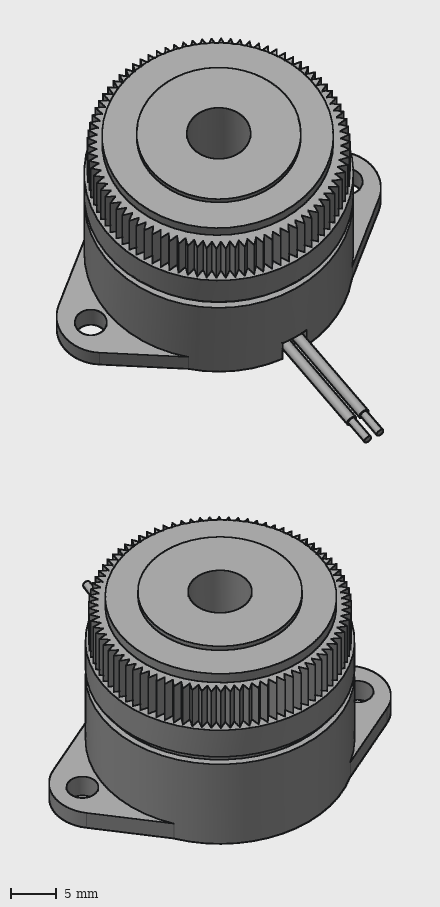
import cadquery as cq
import math

flange_top = 2.2
shoulder_z = 11.7
cap_bottom = 12.8
knurl_bottom = 16.7
knurl_top = 22.0
step_top = 23.3
cap_top = 23.9
pad_height = 0.6

body_radius = 29.5 / 2
neck_radius = 28.0 / 2
ear_tip_y = 20.5
ear_radius = 5.0
ear_side_angle = 38.0
mount_hole_y = 17.0
mount_hole_diameter = 3.5
pad_diameter = 5.25

wire_spacing = 1.63
wire_diameter = 1.25
core_diameter = 0.91
wire_z = 1.58
insulation_end_x = 26.9
core_end_x = 30.0
exit_notch_width = 3.2
exit_notch_height = 2.85
exit_notch_depth = 1.0

tooth_count = 86
tooth_tip_radius = 14.4
tooth_root_radius = 13.4
step_radius = 25.35 / 2
step_offset_x = -0.2
face_radius = 18.0 / 2
sound_hole_radius = 7.0 / 2


def cylinder(radius, bottom, top, x=0.0, y=0.0):
    """Upright cylinder between two heights."""
    return cq.Workplane("XY", origin=(x, y, bottom)).circle(radius).extrude(top - bottom)


def flange_plate():
    """Plate with two round-tipped ears whose straight sides run into the body."""
    normal_x = math.cos(math.radians(ear_side_angle))
    normal_y = math.sin(math.radians(ear_side_angle))
    arc_center_y = ear_tip_y - ear_radius
    tangent_x = ear_radius * normal_x
    tangent_y = arc_center_y + ear_radius * normal_y
    side_distance = arc_center_y * normal_y + ear_radius
    foot_x = side_distance * normal_x
    foot_y = side_distance * normal_y
    return (
        cq.Workplane("XY")
        .moveTo(foot_x, -foot_y)
        .lineTo(foot_x, foot_y)
        .lineTo(tangent_x, tangent_y)
        .threePointArc((0, ear_tip_y), (-tangent_x, tangent_y))
        .lineTo(-foot_x, foot_y)
        .lineTo(-foot_x, -foot_y)
        .lineTo(-tangent_x, -tangent_y)
        .threePointArc((0, -ear_tip_y), (tangent_x, -tangent_y))
        .close()
        .extrude(flange_top)
    )


def wire_exit_notch():
    """Shallow notch in the +X wall, open at the underside, where the wires leave."""
    return (
        cq.Workplane("XY", origin=(body_radius - exit_notch_depth, 0, 0))
        .box(exit_notch_depth, exit_notch_width, exit_notch_height, centered=(False, True, False))
    )


def lead_wire(y):
    """Insulated wire along +X with a bare core at its end, starting inside the body."""
    start = cq.Workplane("YZ").center(y, wire_z)
    insulation = start.circle(wire_diameter / 2).extrude(insulation_end_x)
    core = start.circle(core_diameter / 2).extrude(core_end_x)
    return insulation.union(core)


def make_housing():
    """Round housing with neck, flange ears, mounting pads and two lead wires."""
    housing = cylinder(body_radius, 0, shoulder_z)
    housing = housing.union(cylinder(neck_radius, 0, cap_bottom))
    housing = housing.union(flange_plate())
    housing = housing.cut(wire_exit_notch())
    for side in (-1, 1):
        y = side * mount_hole_y
        housing = housing.union(cylinder(pad_diameter / 2, -pad_height, flange_top, y=y))
        housing = housing.cut(cylinder(mount_hole_diameter / 2, -pad_height, flange_top, y=y))
        housing = housing.union(lead_wire(side * wire_spacing / 2))
    return housing


def knurled_ring():
    """Prism whose outline alternates between tooth tips and roots, a tip on the +Y axis."""
    half_pitch = math.pi / tooth_count
    outline = []
    for i in range(2 * tooth_count):
        radius = tooth_root_radius if i % 2 else tooth_tip_radius
        angle = math.pi / 2 + i * half_pitch
        outline.append((radius * math.cos(angle), radius * math.sin(angle)))
    return (
        cq.Workplane("XY", origin=(0, 0, knurl_bottom))
        .polyline(outline)
        .close()
        .extrude(knurl_top - knurl_bottom)
    )


def make_cap():
    """Cap with a plain rim, knurled grip, stepped face and central sound hole."""
    cap = cylinder(body_radius, cap_bottom, knurl_bottom)
    cap = cap.union(knurled_ring())
    cap = cap.union(cylinder(step_radius, knurl_top, step_top, x=step_offset_x))
    cap = cap.union(cylinder(face_radius, step_top, cap_top))
    return cap.cut(cylinder(sound_hole_radius, cap_bottom, cap_top))


housing = make_housing()
cap = make_cap()

result = cq.Compound.makeCompound([housing.val(), cap.val()])